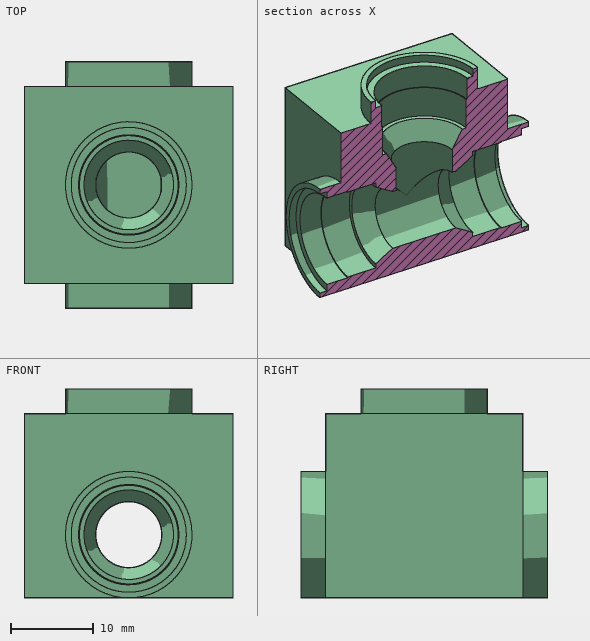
import cadquery as cq

body_width = 25.4
body_length = 24.0
body_height = 22.4

boss_diameter = 15.4
boss_height = 3.0
recess_diameter = 14.0
recess_depth = 1.0
entry_diameter = 12.2
entry_depth = 3.0
socket_diameter = 12.0
seat_depth = 8.0
throat_diameter = 10.9
taper_length = 2.45
passage_diameter = 8.0

axis_height = boss_diameter / 2
side_rim = body_length / 2 + boss_height
top_rim = body_height + boss_height

axis_point = cq.Vector(0, 0, axis_height)
ports = [
    (cq.Vector(0, -1, 0), side_rim),
    (cq.Vector(0, 1, 0), side_rim),
    (cq.Vector(0, 0, 1), top_rim - axis_height),
]


def make_boss(direction, reach):
    """Solid cylinder from the junction of the passages out to the rim."""
    return cq.Workplane(cq.Solid.makeCylinder(boss_diameter / 2, reach, axis_point, direction))


def make_port_cavity(direction, reach):
    """Stepped socket, tapered throat and passage, revolved about the port axis."""
    recess_floor = reach - recess_depth
    entry_floor = recess_floor - entry_depth
    seat = reach - seat_depth
    taper_end = seat - taper_length
    profile = [
        (0, 0),
        (passage_diameter / 2, 0),
        (passage_diameter / 2, taper_end),
        (throat_diameter / 2, seat),
        (socket_diameter / 2, seat),
        (socket_diameter / 2, entry_floor),
        (entry_diameter / 2, entry_floor),
        (entry_diameter / 2, recess_floor),
        (recess_diameter / 2, recess_floor),
        (recess_diameter / 2, reach),
        (0, reach),
    ]
    sketch_plane = cq.Plane(origin=axis_point, xDir=(1, 0, 0), normal=cq.Vector(1, 0, 0).cross(direction))
    return cq.Workplane(sketch_plane).polyline(profile).close().revolve(360, (0, 0), (0, 1))


result = cq.Workplane("XY").box(body_width, body_length, body_height, centered=(True, True, False))
for direction, reach in ports:
    result = result.union(make_boss(direction, reach))
for direction, reach in ports:
    result = result.cut(make_port_cavity(direction, reach))